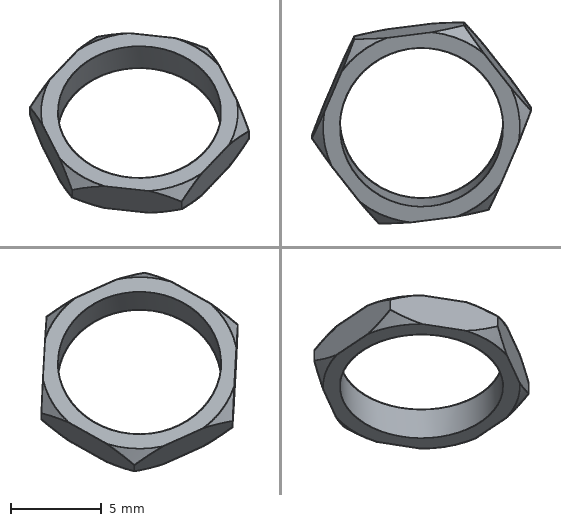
import cadquery as cq

across_corners = 12.2
thickness = 2.05
bore_diameter = 9.0
corner_chamfer = 0.67

base = cq.Workplane("XY").workplane(offset=-thickness / 2)

hexagon = base.polygon(6, across_corners).extrude(thickness)

chamfered_disc = (
    base.circle(across_corners / 2)
    .extrude(thickness)
    .faces("<Z or >Z")
    .edges()
    .chamfer(corner_chamfer)
)

bore = base.circle(bore_diameter / 2).extrude(thickness)

result = hexagon.intersect(chamfered_disc).cut(bore)